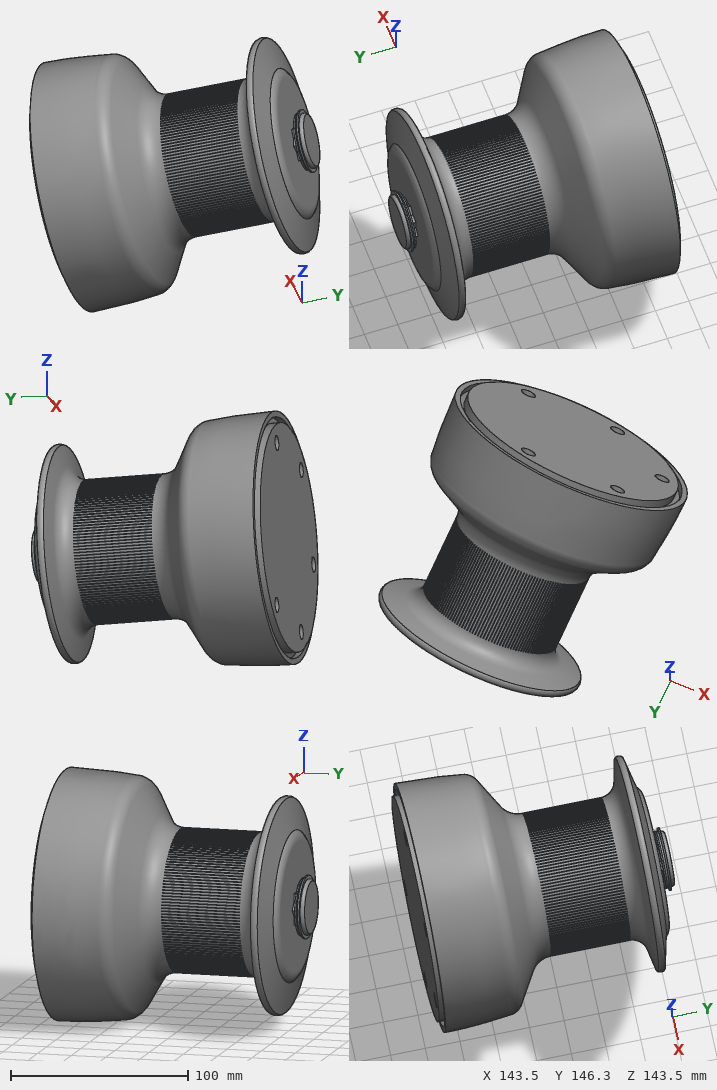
import cadquery as cq
import math


height = 146.3

disc_radius = 130.0 / 2
rim_bore_radius = 137.0 / 2
rim_radius = 143.5 / 2
rim_height = 2.5
rim_groove_inner_height = 5.3
rim_groove_outer_height = 6.1
skirt_mid_radius = 71.1
skirt_mid_height = 21.2
skirt_top_radius = 69.3
skirt_top_height = 39.8
shoulder_mid_radius = 67.9
shoulder_mid_height = 44.9
shoulder_top_radius = 63.8
shoulder_top_height = 48.5

throat_base_radius = 48.9
throat_base_height = 57.5
throat_mid_radius = 43.3
throat_mid_height = 62.3

grip_radius = 41.1
grip_bottom_height = 69.8
grip_top_height = 115.1
groove_count = 150
groove_width = 0.3
groove_depth = 0.5

flare_mid_radius = 43.3
flare_mid_height = 121.1
flare_top_radius = 49.5
flare_top_height = 124.6
flange_edge_radius = 61.5
flange_bulge_radius = 62.2
flange_bottom_height = 127.3
flange_top_height = 131.2
crown_base_radius = 43.3
crown_base_height = 135.6
crown_mid_radius = 41.3
crown_mid_height = 137.4
crown_top_radius = 75.0 / 2
crown_top_height = 138.4

star_points = 8
star_outer_radius = 25.5 / 2
star_inner_radius = 19.6 / 2
washer_radius = 33.0 / 2
washer_bottom_height = 140.9
washer_top_height = 141.8
cap_radius = 31.9 / 2
cap_top_radius = 30.0 / 2
cap_mid_radius = 15.7
cap_mid_height = 145.7
cap_edge_height = 144.5
ring_radius = 36.0 / 2
ring_bottom_height = 143.0
ring_top_height = 144.0

hole_diameter = 8.5
hole_depth = 5.3
hole_circle_radius = 55.0
hole_places = 6
empty_hole_place = 3


def make_drum():
    """Revolve the outline of skirt, grip and flange about Y."""
    outline = (
        cq.Workplane("XY")
        .lineTo(disc_radius, 0)
        .lineTo(disc_radius, rim_groove_inner_height)
        .lineTo(rim_bore_radius, rim_groove_outer_height)
        .lineTo(rim_bore_radius, rim_height)
        .lineTo(rim_radius, rim_height)
        .threePointArc((skirt_mid_radius, skirt_mid_height), (skirt_top_radius, skirt_top_height))
        .threePointArc(
            (shoulder_mid_radius, shoulder_mid_height), (shoulder_top_radius, shoulder_top_height)
        )
        .lineTo(throat_base_radius, throat_base_height)
        .threePointArc((throat_mid_radius, throat_mid_height), (grip_radius, grip_bottom_height))
        .lineTo(grip_radius, grip_top_height)
        .threePointArc((flare_mid_radius, flare_mid_height), (flare_top_radius, flare_top_height))
        .lineTo(flange_edge_radius, flange_bottom_height)
        .threePointArc(
            (flange_bulge_radius, (flange_bottom_height + flange_top_height) / 2),
            (flange_edge_radius, flange_top_height),
        )
        .lineTo(crown_base_radius, crown_base_height)
        .threePointArc((crown_mid_radius, crown_mid_height), (crown_top_radius, crown_top_height))
        .lineTo(0, crown_top_height)
        .close()
    )
    return outline.revolve(360, (0, 0, 0), (0, 1, 0))


def plane_at(y):
    """Workplane normal to +Y, with local x along +X and local y along -Z."""
    return cq.Workplane("XZ", origin=(0, y, 0)).transformed(rotate=(180, 0, 0))


def make_grip_grooves():
    """Fine grooves spread evenly around the grip, open to its surface."""
    return (
        plane_at(grip_bottom_height)
        .polarArray(grip_radius, 0, 360, groove_count)
        .rect(2 * groove_depth, groove_width)
        .extrude(grip_top_height - grip_bottom_height)
    )


def make_star_shaft():
    """Star-shaped shaft joining the crown to the washer."""
    corners = []
    for i in range(2 * star_points):
        radius = star_outer_radius if i % 2 == 0 else star_inner_radius
        angle = math.pi * i / star_points
        corners.append((radius * math.cos(angle), radius * math.sin(angle)))
    return plane_at(crown_top_height).polyline(corners).close().extrude(height - crown_top_height)


def make_cap():
    """Washer, retaining ring and rounded cap stacked on the star shaft."""
    outline = (
        cq.Workplane("XY")
        .moveTo(0, washer_bottom_height)
        .lineTo(washer_radius, washer_bottom_height)
        .lineTo(washer_radius, washer_top_height)
        .lineTo(cap_radius, washer_top_height)
        .lineTo(cap_radius, ring_bottom_height)
        .lineTo(ring_radius, ring_bottom_height)
        .lineTo(ring_radius, ring_top_height)
        .lineTo(cap_radius, ring_top_height)
        .lineTo(cap_radius, cap_edge_height)
        .threePointArc((cap_mid_radius, cap_mid_height), (cap_top_radius, height))
        .lineTo(0, height)
        .close()
    )
    return outline.revolve(360, (0, 0, 0), (0, 1, 0))


def make_base_holes():
    """Blind holes in the base disc, on a six-place circle with the -X place left out."""
    centres = []
    for i in range(hole_places):
        if i == empty_hole_place:
            continue
        angle = 2 * math.pi * i / hole_places
        centres.append((hole_circle_radius * math.cos(angle), hole_circle_radius * math.sin(angle)))
    return plane_at(0).pushPoints(centres).circle(hole_diameter / 2).extrude(hole_depth)


result = (
    make_drum()
    .cut(make_grip_grooves())
    .cut(make_base_holes())
    .union(make_star_shaft())
    .union(make_cap())
)